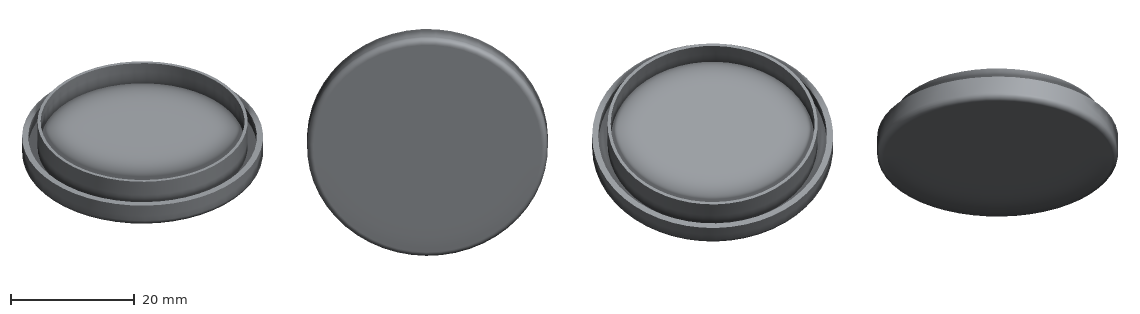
import cadquery as cq

outer_diameter = 39.0
groove_outer_diameter = 37.0
ring_outer_diameter = 34.0
ring_inner_diameter = 33.0

total_height = 7.0
rim_height = 4.0
inner_floor_height = 3.0
groove_floor_height = 2.0
bottom_fillet = 0.98

disc = cq.Workplane("XY").circle(outer_diameter / 2).extrude(rim_height)
disc = disc.faces("<Z").edges().fillet(bottom_fillet)

core = cq.Workplane("XY").workplane(offset=rim_height)
core = core.circle(ring_outer_diameter / 2).extrude(total_height - rim_height)

groove = cq.Workplane("XY").workplane(offset=groove_floor_height)
groove = groove.circle(groove_outer_diameter / 2).circle(ring_outer_diameter / 2)
groove = groove.extrude(rim_height - groove_floor_height)

cavity = cq.Workplane("XY").workplane(offset=inner_floor_height)
cavity = cavity.circle(ring_inner_diameter / 2).extrude(total_height - inner_floor_height)

result = disc.union(core).cut(groove).cut(cavity)